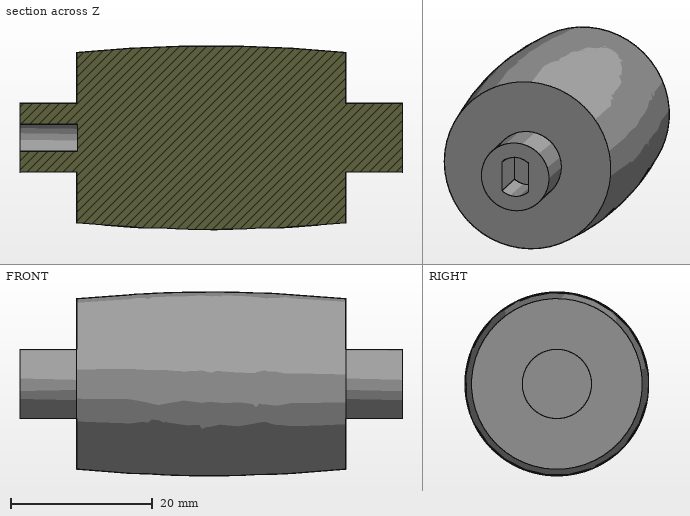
import cadquery as cq

total_length = 54.0
body_length = 38.0
body_end_diameter = 24.1
body_mid_diameter = 26.0
shaft_diameter = 9.8

socket_diameter = 5.6
socket_width = 3.8
socket_depth = 8.1

half_body = body_length / 2
end_radius = body_end_diameter / 2


def make_body():
    """Barrel with an arc profile, revolved about X."""
    return (
        cq.Workplane("XY")
        .moveTo(-half_body, 0)
        .lineTo(-half_body, end_radius)
        .threePointArc((0, body_mid_diameter / 2), (half_body, end_radius))
        .lineTo(half_body, 0)
        .close()
        .revolve(360, (0, 0, 0), (1, 0, 0))
    )


def make_shaft():
    """Full-length shaft that forms both stubs."""
    return cq.Workplane("YZ").circle(shaft_diameter / 2).extrude(total_length / 2, both=True)


def make_socket():
    """Round bore narrowed by two flats facing +Y and -Y."""
    mouth = cq.Workplane("YZ", origin=(-total_length / 2, 0, 0))
    bore = mouth.circle(socket_diameter / 2).extrude(socket_depth)
    flats = mouth.rect(socket_width, socket_diameter).extrude(socket_depth)
    return bore.intersect(flats)


result = make_body().union(make_shaft()).cut(make_socket())